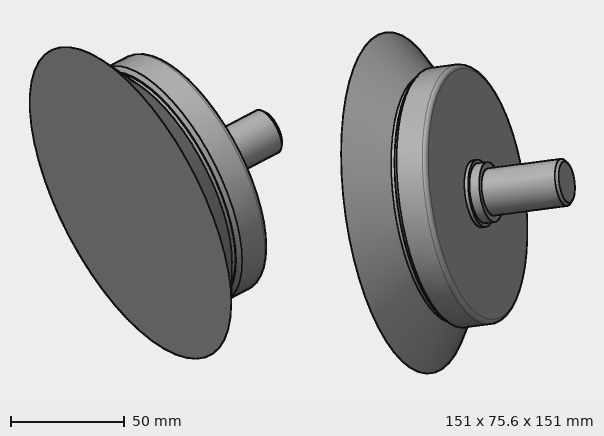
import cadquery as cq

lip_diameter = 151.0
neck_diameter = 110.0
disc_diameter = 115.0
washer_diameter = 29.8
collar_diameter = 26.56
stud_diameter = 20.94

overall_length = 75.57
skirt_height = 15.2
neck_height = 1.8
disc_thickness = 16.0
washer_thickness = 1.8
collar_height = 4.6
stud_length = (
    overall_length - skirt_height - neck_height - disc_thickness - washer_thickness - collar_height
)

disc_fillet = 2.0
disc_chamfer = 1.9
stud_chamfer = 1.3


def make_skirt():
    """Solid cone that flares from the neck down to a sharp lip at Y = 0."""
    return (
        cq.Workplane("XY")
        .lineTo(lip_diameter / 2, 0)
        .lineTo(neck_diameter / 2, skirt_height)
        .lineTo(0, skirt_height)
        .close()
        .revolve(360, (0, 0), (0, 1))
    )


def make_cylinder(diameter, length, start):
    """Cylinder about the Y axis that begins at Y = start and extends toward +Y."""
    return cq.Workplane("XZ", origin=(0, start, 0)).circle(diameter / 2).extrude(-length)


def make_disc(start):
    """Backing disc, chamfered toward the skirt and rounded toward the stud."""
    disc = make_cylinder(disc_diameter, disc_thickness, start)
    disc = disc.faces("<Y").edges().chamfer(disc_chamfer)
    return disc.faces(">Y").edges().fillet(disc_fillet)


def make_stud(start):
    """Plain stud with a chamfered tip."""
    stud = make_cylinder(stud_diameter, stud_length, start)
    return stud.faces(">Y").edges().chamfer(stud_chamfer)


disc_start = skirt_height + neck_height
washer_start = disc_start + disc_thickness
collar_start = washer_start + washer_thickness
stud_start = collar_start + collar_height

result = (
    make_skirt()
    .union(make_cylinder(neck_diameter, neck_height, skirt_height))
    .union(make_disc(disc_start))
    .union(make_cylinder(washer_diameter, washer_thickness, washer_start))
    .union(make_cylinder(collar_diameter, collar_height, collar_start))
    .union(make_stud(stud_start))
)